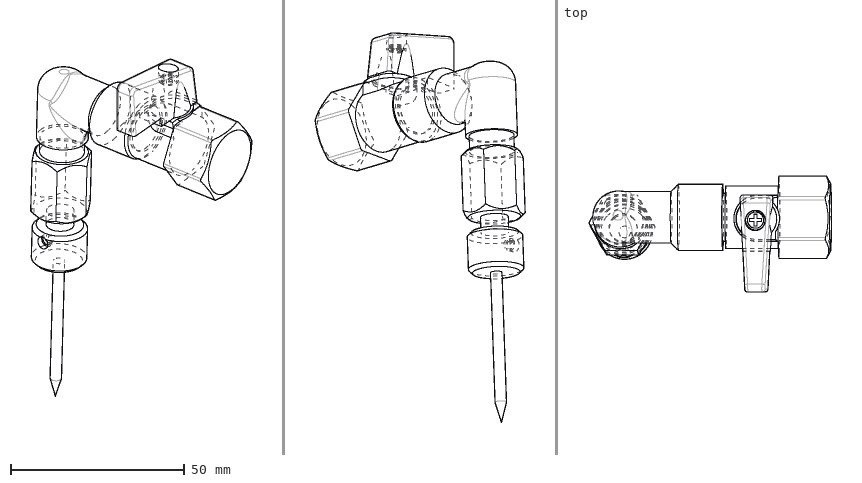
import cadquery as cq
import math

PITCH = -1.75
ELBOW_ROLL = -4.4
VALVE_ROLL = 2.2

LEG_RADIUS = 7.5
ARM_RADIUS = LEG_RADIUS - 0.04
CROWN_FILLET = 6.1
LEG_LENGTH = 14.1
CORNER_FILLET = 5.2

SLEEVE_RADIUS = 9.6
SLEEVE_START = 15.0
SLEEVE_END = 29.9
SLEEVE_CHAMFER = SLEEVE_RADIUS - ARM_RADIUS

NECK_RADIUS = 6.5
NUT_TOP = 18.9
NUT_BOTTOM = 38.5
NUT_FLATS = 16.1
NUT_FACE_RADIUS = 7.6
STEM_RADIUS = 4.0
COLLAR_TOP = 43.0
COLLAR_BOTTOM = 55.0
COLLAR_RADIUS = 8.0
COLLAR_CHAMFER = 1.2
SCREW_HOLE_RADIUS = 1.8
SCREW_HOLE_DEPTH = 2.0
SCREW_HOLE_DROP = 2.7
SOCKET_RADIUS = 1.3
SOCKET_DEPTH = 3.2
NEEDLE_RADIUS = 1.7
NEEDLE_SHOULDER = 93.8
NEEDLE_TIP = 99.9

GROOVE_RADIUS = 7.0
GROOVE_WIDTH = 0.9
VALVE_RADIUS = 9.1
VALVE_START = SLEEVE_END + GROOVE_WIDTH
HEX_START = 46.1
HEX_END = 61.0
HEX_FLATS = 21.0
HEX_EDGE_FILLET = 1.0
HEX_FACE_RADIUS = 9.8
HEX_CHAMFER_ANGLE = 30.0
SPINDLE_X = 40.0
PAD_RADIUS = 6.6
PAD_CHAMFER_DROP = 1.5
PAD_CHAMFER_INSET = 0.6

HANDLE_BOTTOM = 11.3
HANDLE_BACK = 6.9
HANDLE_FRONT = 21.1
HANDLE_BACK_WIDTH = 9.6
HANDLE_FRONT_WIDTH = 6.9
HANDLE_DRAFT = 2.0
HANDLE_BACK_TOP = 23.2
HANDLE_TOP_SLOPE = 14.0
HANDLE_STEP_Z = 14.0
HANDLE_STEP_Y = 9.3
HANDLE_CORNER_FILLET = 2.0
HANDLE_EDGE_FILLET = 0.9
CONE_RADIUS = 5.8
CONE_SLOPE = 9.5
SCREW_POCKET_RADIUS = 2.9
SCREW_POCKET_FLOOR = 20.7
SCREW_HEAD_RADIUS = 2.3
SCREW_HEAD_HEIGHT = 0.8
CROSS_LENGTH = 3.4
CROSS_WIDTH = 0.9


def leg_cylinder(radius, top, bottom):
    """Cylinder on the leg axis between two depths below the elbow corner."""
    return cq.Workplane("XY").workplane(offset=-bottom).circle(radius).extrude(bottom - top)


def arm_cylinder(radius, start, end):
    """Cylinder on the valve axis between two distances from the elbow corner."""
    return cq.Workplane("YZ").workplane(offset=start).circle(radius).extrude(end - start)


def hexagon(workplane, flats, length):
    return workplane.polygon(6, flats / math.cos(math.pi / 6)).extrude(length)


def make_elbow_pipe():
    """Leg and arm of nearly equal radius, blended along the curve where they meet."""
    leg = leg_cylinder(LEG_RADIUS, -LEG_RADIUS, LEG_LENGTH).faces(">Z").edges().fillet(CROWN_FILLET)
    arm = arm_cylinder(ARM_RADIUS, 0, SLEEVE_START)
    pipe = leg.union(arm)
    return pipe.edges("%BSPLINE").fillet(CORNER_FILLET)


def make_sleeve():
    return arm_cylinder(SLEEVE_RADIUS, SLEEVE_START, SLEEVE_END).faces("<X").chamfer(SLEEVE_CHAMFER)


def make_nut():
    """Hexagon with corners on +-X, its ends chamfered by a cone."""
    height = NUT_BOTTOM - NUT_TOP
    corner_radius = NUT_FLATS / 2 / math.cos(math.pi / 6)
    drop = corner_radius - NUT_FACE_RADIUS
    blank = hexagon(cq.Workplane("XY").workplane(offset=-NUT_BOTTOM), NUT_FLATS, height)
    envelope = leg_cylinder(corner_radius, NUT_TOP, NUT_BOTTOM).edges().chamfer(drop)
    return blank.intersect(envelope)


def make_collar():
    """Chamfered collar with a stepped screw hole in its -Y side."""
    collar = leg_cylinder(COLLAR_RADIUS, COLLAR_TOP, COLLAR_BOTTOM).edges("%CIRCLE").chamfer(COLLAR_CHAMFER)
    mouth = cq.Workplane("XZ", origin=(0, -COLLAR_RADIUS, -COLLAR_TOP - SCREW_HOLE_DROP))
    screw_hole = mouth.circle(SCREW_HOLE_RADIUS).extrude(-SCREW_HOLE_DEPTH)
    socket = mouth.circle(SOCKET_RADIUS).extrude(-SOCKET_DEPTH)
    return collar.cut(screw_hole).cut(socket)


def make_needle():
    profile = [
        (0, -COLLAR_BOTTOM),
        (NEEDLE_RADIUS, -COLLAR_BOTTOM),
        (NEEDLE_RADIUS, -NEEDLE_SHOULDER),
        (0, -NEEDLE_TIP),
    ]
    return cq.Workplane("XZ").polyline(profile).close().revolve(360, (0, 0, 0), (0, 1, 0))


def make_elbow_assembly():
    return (
        make_elbow_pipe()
        .union(make_sleeve())
        .union(leg_cylinder(NECK_RADIUS, LEG_LENGTH, NUT_TOP))
        .union(make_nut())
        .union(leg_cylinder(STEM_RADIUS, NUT_BOTTOM, COLLAR_TOP))
        .union(make_collar())
        .union(make_needle())
    )


def make_hex_end():
    """Hexagon with flats facing +-Z, its outer end chamfered by a cone."""
    length = HEX_END - HEX_START
    corner_radius = HEX_FLATS / 2 / math.cos(math.pi / 6)
    radial = corner_radius - HEX_FACE_RADIUS
    axial = radial * math.tan(math.radians(HEX_CHAMFER_ANGLE))
    blank = hexagon(cq.Workplane("YZ").workplane(offset=HEX_START), HEX_FLATS, length)
    blank = blank.edges("|X").fillet(HEX_EDGE_FILLET)
    profile = [
        (HEX_START, 0),
        (HEX_START, corner_radius),
        (HEX_END - axial, corner_radius),
        (HEX_END, HEX_FACE_RADIUS),
        (HEX_END, 0),
    ]
    envelope = cq.Workplane("XY").polyline(profile).close().revolve(360, (0, 0, 0), (1, 0, 0))
    return blank.intersect(envelope)


def make_pad():
    """Upright pad around the spindle, running straight back into the hexagon."""
    round_end = cq.Workplane("XY").center(SPINDLE_X, 0).circle(PAD_RADIUS).extrude(HANDLE_BOTTOM)
    run = HEX_START - SPINDLE_X
    straight = (
        cq.Workplane("XY")
        .center(SPINDLE_X + run / 2, 0)
        .rect(run, 2 * PAD_RADIUS)
        .extrude(HANDLE_BOTTOM)
    )
    pad = round_end.union(straight)
    return pad.faces(">Z").edges("not(>X)").chamfer(PAD_CHAMFER_INSET, PAD_CHAMFER_DROP)


def make_handle():
    """Drafted blade, narrower toward its front, with a sloping top and a stepped underside."""
    back = HANDLE_BACK_WIDTH / 2
    front = HANDLE_FRONT_WIDTH / 2
    plan = [(-back, HANDLE_BACK), (back, HANDLE_BACK), (front, -HANDLE_FRONT), (-front, -HANDLE_FRONT)]
    length = HANDLE_BACK + HANDLE_FRONT
    rise = length * math.tan(math.radians(HANDLE_TOP_SLOPE))
    blade = (
        cq.Workplane("XY", origin=(SPINDLE_X, 0, HANDLE_BOTTOM))
        .polyline(plan)
        .close()
        .extrude(HANDLE_BACK_TOP + rise - HANDLE_BOTTOM, taper=HANDLE_DRAFT)
    )
    side = [
        (HANDLE_BACK, HANDLE_BOTTOM),
        (HANDLE_BACK, HANDLE_BACK_TOP),
        (-HANDLE_FRONT, HANDLE_BACK_TOP + rise),
        (-HANDLE_FRONT, HANDLE_BOTTOM),
    ]
    half_span = HANDLE_BACK_WIDTH
    side_blank = (
        cq.Workplane("YZ", origin=(SPINDLE_X - half_span, 0, 0)).polyline(side).close().extrude(2 * half_span)
    )
    blade = blade.intersect(side_blank)
    blade = blade.faces(">Z").edges("|X").fillet(HANDLE_CORNER_FILLET)
    blade = blade.edges("not(<Z)").fillet(HANDLE_EDGE_FILLET)
    reach = HANDLE_FRONT - HANDLE_STEP_Y
    step = cq.Workplane("XY").box(
        2 * half_span, reach, HANDLE_STEP_Z - HANDLE_BOTTOM, centered=(True, False, False)
    )
    return blade.cut(step.translate((SPINDLE_X, -HANDLE_FRONT, HANDLE_BOTTOM)))


def make_handle_cone():
    """Slender cone on the spindle axis that bulges out of both handle sides."""
    height = HANDLE_BACK_TOP - HANDLE_BOTTOM
    top_radius = CONE_RADIUS - height * math.tan(math.radians(CONE_SLOPE))
    cone = cq.Solid.makeCone(
        CONE_RADIUS, top_radius, height, pnt=cq.Vector(SPINDLE_X, 0, HANDLE_BOTTOM)
    )
    return cq.Workplane(cone)


def make_screw_pocket():
    """Round pocket in the handle top, around a screw head with a cross recess."""
    floor = cq.Workplane("XY", origin=(SPINDLE_X, 0, SCREW_POCKET_FLOOR))
    pocket = floor.circle(SCREW_POCKET_RADIUS).extrude(HANDLE_BACK_TOP)
    head = floor.circle(SCREW_HEAD_RADIUS).extrude(SCREW_HEAD_HEIGHT)
    for length, width in ((CROSS_LENGTH, CROSS_WIDTH), (CROSS_WIDTH, CROSS_LENGTH)):
        head = head.cut(floor.rect(length, width).extrude(SCREW_HEAD_HEIGHT))
    return pocket.cut(head)


def make_valve():
    spigot = arm_cylinder(GROOVE_RADIUS, SLEEVE_END, VALVE_START)
    return (
        spigot.union(arm_cylinder(VALVE_RADIUS, VALVE_START, HEX_START))
        .union(make_hex_end())
        .union(make_pad())
        .union(make_handle_cone())
        .union(make_handle())
        .cut(make_screw_pocket())
    )


def place(body, roll):
    rolled = body.rotate((0, 0, 0), (1, 0, 0), roll)
    return rolled.rotate((0, 0, 0), (0, 1, 0), PITCH)


elbow_assembly = place(make_elbow_assembly(), ELBOW_ROLL)
valve = place(make_valve(), VALVE_ROLL)

result = cq.Compound.makeCompound([elbow_assembly.val(), valve.val()])